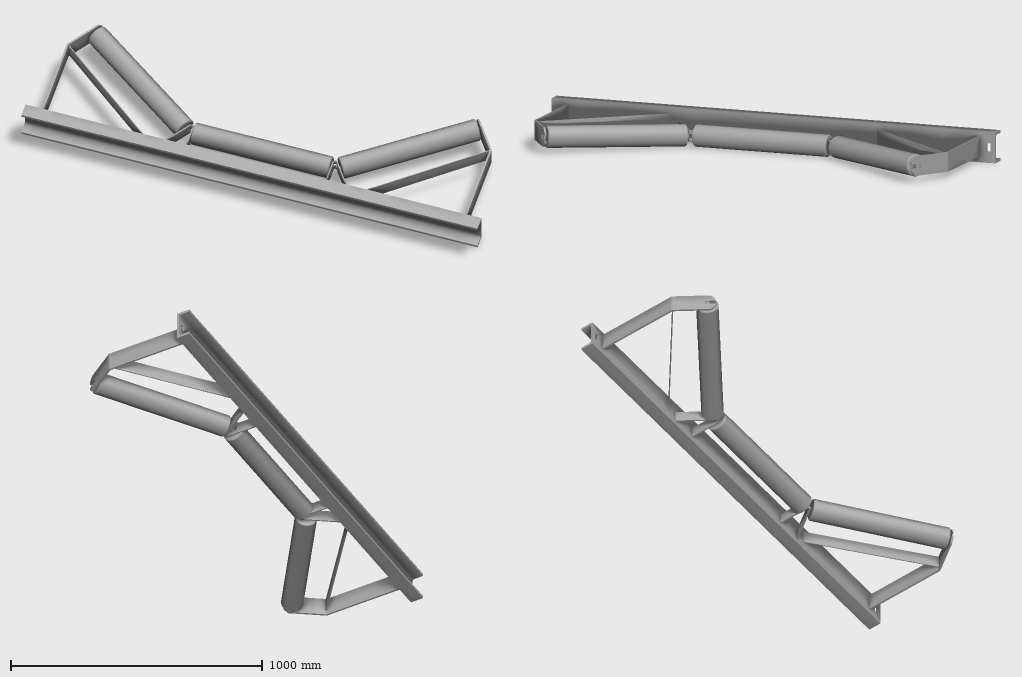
import cadquery as cq
import math

trough_angle = math.radians(35)
forward_tilt = math.radians(2)
sin_trough = math.sin(trough_angle)
cos_trough = math.cos(trough_angle)

beam_length = 1900.0
beam_height = 125.0
beam_depth = 55.0
web_thickness = 8.0
flange_thickness = 11.0
root_radius = 10.0
mount_hole_width = 17.0
mount_hole_height = 35.0
mount_hole_x = 922.0

roller_diameter = 90.0
roller_length = 572.0
roller_rounding = 5.0
center_roller_y = 173.0
center_roller_z = -18.0
wing_roller_x = 559.0
wing_roller_y = 345.0
wing_roller_z = -8.0
shaft_size = 17.0
wing_shaft_overhang = 11.0
slot_reach = 76.0

inner_face_x = 289.0
inner_thickness = 5.0
inner_width = 50.0
inner_bend_radius = 11.0
inner_top_y = 195.0

outer_face_x = 885.0
outer_thickness = 8.0
outer_width = 80.0
outer_center_z = 2.8
outer_bend_y = 403.0
outer_bend_radius = 15.0
outer_tip_y = 545.0
tip_chamfer = 19.0

brace_width = 59.0
brace_thickness = 4.0
brace_top_z = 38.0
brace_head_x = outer_face_x - outer_thickness
brace_head_y = outer_bend_y + 2.0
brace_foot_x = 443.0

center_shaft_length = 2 * (inner_face_x + inner_thickness)
wing_shaft_length = roller_length + 2 * wing_shaft_overhang

center_axis = cq.Plane((0, center_roller_y, center_roller_z), xDir=(0, 1, 0), normal=(1, 0, 0))
wing_axis = cq.Plane(
    (-wing_roller_x, wing_roller_y, wing_roller_z),
    xDir=(sin_trough, cos_trough, 0),
    normal=(
        cos_trough * math.cos(forward_tilt),
        -sin_trough * math.cos(forward_tilt),
        -math.sin(forward_tilt),
    ),
)


def make_beam():
    half_height = beam_height / 2
    flange_inside = half_height - flange_thickness
    web_front = beam_depth - web_thickness
    flange_tip = flange_inside - root_radius
    arc_inset = root_radius * (1 - math.sqrt(0.5))
    profile = (
        cq.Workplane("YZ")
        .moveTo(0, -half_height)
        .lineTo(beam_depth, -half_height)
        .lineTo(beam_depth, half_height)
        .lineTo(0, half_height)
        .lineTo(0, flange_inside)
        .lineTo(web_front - root_radius, flange_inside)
        .threePointArc((web_front - arc_inset, flange_inside - arc_inset), (web_front, flange_tip))
        .lineTo(web_front, -flange_tip)
        .threePointArc(
            (web_front - arc_inset, -flange_inside + arc_inset),
            (web_front - root_radius, -flange_inside),
        )
        .lineTo(0, -flange_inside)
        .close()
    )
    mount_holes = (
        cq.Workplane("XZ")
        .pushPoints([(-mount_hole_x, 0), (mount_hole_x, 0)])
        .rect(mount_hole_width, mount_hole_height)
        .extrude(-beam_depth)
    )
    return profile.extrude(beam_length / 2, both=True).cut(mount_holes)


def make_roller(axis, shaft_length):
    drum = (
        cq.Workplane(axis)
        .workplane(offset=-roller_length / 2)
        .circle(roller_diameter / 2)
        .extrude(roller_length)
        .edges("%CIRCLE")
        .fillet(roller_rounding)
    )
    shaft = (
        cq.Workplane(axis)
        .workplane(offset=-shaft_length / 2)
        .rect(shaft_size, shaft_size)
        .extrude(shaft_length)
    )
    return drum.union(shaft)


def make_shaft_slot(axis):
    """Block around a shaft that keeps its slot open on the side away from the beam."""
    return (
        cq.Workplane(axis)
        .center((slot_reach - shaft_size) / 2, 0)
        .rect(slot_reach, shaft_size)
        .extrude(roller_length, both=True)
    )


def make_inner_bracket():
    """Left strap: upright leg beside the center roller, round bend, sloping leg to the beam."""
    bend_x = -inner_face_x - inner_bend_radius
    bend_y = inner_top_y - inner_bend_radius
    inside_radius = inner_bend_radius - inner_thickness

    def slope_top(radius):
        return (bend_x - radius * cos_trough, bend_y + radius * sin_trough)

    def slope_foot(radius):
        top_x, top_y = slope_top(radius)
        return (top_x - (top_y - beam_depth) * math.tan(trough_angle), beam_depth)

    strap = (
        cq.Workplane("XY")
        .workplane(offset=center_roller_z)
        .moveTo(bend_x + inner_bend_radius, beam_depth)
        .lineTo(bend_x + inner_bend_radius, bend_y)
        .threePointArc((bend_x, bend_y + inner_bend_radius), slope_top(inner_bend_radius))
        .lineTo(*slope_foot(inner_bend_radius))
        .lineTo(*slope_foot(inside_radius))
        .lineTo(*slope_top(inside_radius))
        .threePointArc((bend_x, bend_y + inside_radius), (bend_x + inside_radius, bend_y))
        .lineTo(bend_x + inside_radius, beam_depth)
        .close()
        .extrude(inner_width / 2, both=True)
    )
    return strap.cut(make_shaft_slot(center_axis)).cut(make_shaft_slot(wing_axis))


def make_outer_bracket():
    """Left strap: upright leg, bend, and a flap with a chamfered and slotted tip."""
    outside_x = -outer_face_x
    inside_x = outside_x + outer_thickness
    inside_bend_y = outer_bend_y - outer_thickness * math.tan(trough_angle / 2)
    tip_x = outside_x + (outer_tip_y - outer_bend_y) * math.tan(trough_angle)
    inner_tip = (tip_x + outer_thickness * cos_trough, outer_tip_y - outer_thickness * sin_trough)
    strap = (
        cq.Workplane("XY")
        .workplane(offset=outer_center_z)
        .moveTo(outside_x, beam_depth)
        .lineTo(outside_x, outer_bend_y)
        .lineTo(tip_x, outer_tip_y)
        .lineTo(*inner_tip)
        .lineTo(inside_x, inside_bend_y)
        .lineTo(inside_x, beam_depth)
        .close()
        .extrude(outer_width / 2, both=True)
    )
    outside_bend = cq.NearestToPointSelector((outside_x, outer_bend_y, outer_center_z))
    inside_bend = cq.NearestToPointSelector((inside_x, inside_bend_y, outer_center_z))
    strap = strap.edges("|Z").edges(outside_bend).fillet(outer_bend_radius)
    strap = strap.edges("|Z").edges(inside_bend).fillet(outer_bend_radius - outer_thickness)

    across_flap = cq.ParallelDirSelector(cq.Vector(cos_trough, -sin_trough, 0))
    strap = strap.edges(across_flap).chamfer(tip_chamfer)
    return strap.cut(make_shaft_slot(wing_axis))


def make_brace(outer_bracket):
    """Left bar whose head is trimmed to fit against the outer bracket."""
    slope = math.atan2(brace_head_y - beam_depth, brace_head_x - brace_foot_x)
    corners = [
        (-brace_head_x, brace_head_y),
        (-brace_foot_x, beam_depth),
        (-brace_foot_x - brace_thickness / math.sin(slope), beam_depth),
        (-brace_head_x, brace_head_y - brace_thickness / math.cos(slope)),
    ]
    bar = (
        cq.Workplane("XY")
        .workplane(offset=brace_top_z)
        .polyline(corners)
        .close()
        .extrude(-brace_width)
    )
    return bar.cut(outer_bracket)


beam = make_beam()
center_roller = make_roller(center_axis, center_shaft_length)
wing_roller = make_roller(wing_axis, wing_shaft_length)
inner_bracket = make_inner_bracket()
outer_bracket = make_outer_bracket()
brace = make_brace(outer_bracket)

bodies = [beam.val(), center_roller.val()]
for left_body in (wing_roller, inner_bracket, outer_bracket, brace):
    bodies.append(left_body.val())
    bodies.append(left_body.mirror("YZ").val())

result = cq.Compound.makeCompound(bodies)